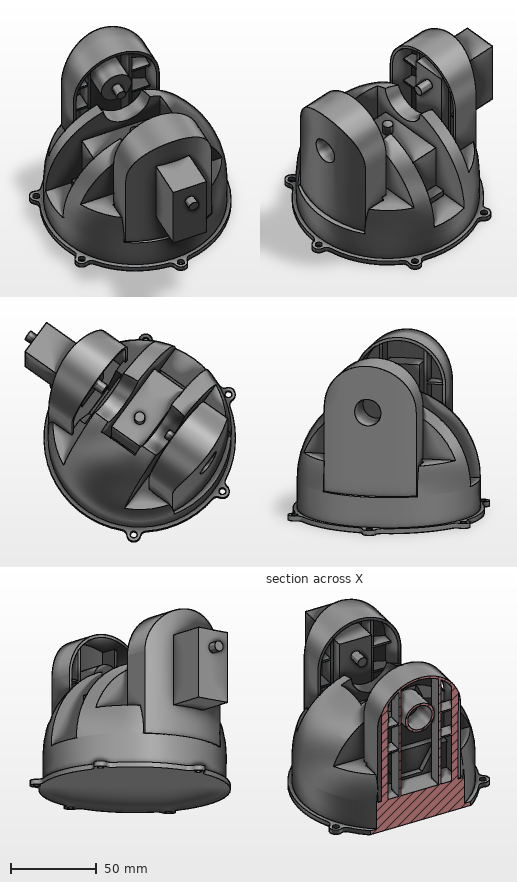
import cadquery as cq
import math

flange_radius = 56.0
flange_thickness = 3.0
ring_radius = 53.5
ring_top = 21.0

lug_circle_radius = 58.0
lug_radius = 4.0
lug_hole_diameter = 4.0
lug_fillet = 3.5
lug_first_angle = 2.4
lug_pitch = 60
lug_empty_place = 1
lug_places = 6

pivot_z = 70.9

dome_top = ring_top + ring_radius
ledge_z = 38.5
ledge_inner_x = 22.0
slot_width = 24.0
slot_back_y = 21.6
saddle_z = 72.7
saddle_radius = 15.0
arm_pocket_inner_x = 30.1
arm_pocket_half_width = 28.3
hex_channel_inner_x = 26.3
hex_channel_radius = 18.2

arm_shift_x = 0.7
arm_y = 0.4
arm_radius = 27.7
arm_top = pivot_z + arm_radius
arm_inner_x = 27.8
arm_outer_x = 51.0
arm_outer_curve_radius = 62.5
arm_wall = 1.8
arm_cavity_floor = ring_top
arm_overhang_z = {-1: 39.8, 1: ledge_z}

rib_inner_x = 36.8
rib_gap_half = 12.4
shelf_tops = (pivot_z, 53.5)
shelf_thickness = 1.3

bore_diameter = 15.8
pin_diameter = 5.5
pin_tip_x = -20.0

servo_width = 21.5
servo_shaft_diameter = 6.1
center_servo_front_y = -29.4
center_servo_back_y = 13.0
center_servo_top = 54.4
center_servo_shaft_top = 60.5
center_tab_length = 6.7
center_tab_top = 24.7
side_servo_inner_x = 33.4
side_servo_outer_x = 74.5
side_servo_bottom = 39.6
side_servo_top = 81.6
side_shaft_inner_tip_x = 24.7
overall_length = 142
side_shaft_outer_tip_x = (
    overall_length - lug_circle_radius * math.cos(math.radians(lug_first_angle)) - lug_radius
)


def box(x0, x1, y0, y1, z0, z1):
    """Axis-aligned block between the given limits."""
    return cq.Workplane("XY").box(x1 - x0, y1 - y0, z1 - z0, centered=False).translate((x0, y0, z0))


def side_block(side, x_near, x_far, y0, y1, z0, z1):
    """Block between two distances from the YZ plane, on the -X (-1) or +X (+1) side."""
    x0, x1 = sorted((side * x_near, side * x_far))
    return box(x0, x1, y0, y1, z0, z1)


def rod_x(diameter, x0, x1, y, z):
    """Round bar along X."""
    return cq.Workplane("YZ", origin=(x0, y, z)).circle(diameter / 2).extrude(x1 - x0)


def make_flange():
    """Disc with drilled lugs blended into its rim."""
    angles = [
        lug_first_angle + lug_pitch * place
        for place in range(lug_places)
        if place != lug_empty_place
    ]
    centers = [
        (lug_circle_radius * math.cos(math.radians(a)), lug_circle_radius * math.sin(math.radians(a)))
        for a in angles
    ]
    disc = cq.Workplane("XY").circle(flange_radius).extrude(flange_thickness)
    lugs = cq.Workplane("XY").pushPoints(centers).circle(lug_radius).extrude(flange_thickness)
    flange = disc.union(lugs)
    cos_half = (lug_circle_radius**2 + flange_radius**2 - lug_radius**2) / (
        2 * lug_circle_radius * flange_radius
    )
    half_angle = math.degrees(math.acos(cos_half))
    for angle in angles:
        for side in (-1, 1):
            corner = math.radians(angle + side * half_angle)
            corner_x = flange_radius * math.cos(corner)
            corner_y = flange_radius * math.sin(corner)
            nearest = cq.selectors.NearestToPointSelector((corner_x, corner_y, flange_thickness / 2))
            flange = flange.edges(nearest).fillet(lug_fillet)
    holes = cq.Workplane("XY").pushPoints(centers).circle(lug_hole_diameter / 2).extrude(flange_thickness)
    return flange.cut(holes)


def make_dome():
    """Half sphere on the ring, with the servo slot, saddle, ledges, arm pockets and channels."""
    far = 2 * ring_radius
    dome = cq.Workplane("XY").sphere(ring_radius).translate((0, 0, ring_top))
    dome = dome.intersect(box(-far, far, -far, far, ring_top, dome_top))
    dome = dome.cut(box(-slot_width / 2, slot_width / 2, -far, slot_back_y, ring_top, dome_top))
    dome = dome.cut(rod_x(2 * saddle_radius, -ledge_inner_x, ledge_inner_x, 0, saddle_z))
    hexagon = cq.Workplane("YZ", origin=(0, 0, ledge_z)).polygon(6, 2 * hex_channel_radius)
    channel = hexagon.extrude(arm_pocket_inner_x)
    channel = channel.cut(box(0, hex_channel_inner_x, -far, far, 0, dome_top))
    half = arm_pocket_half_width
    for side in (-1, 1):
        ledge_cut = side_block(side, ledge_inner_x, far, -far, far, ledge_z, dome_top)
        arm_pocket = side_block(side, arm_pocket_inner_x, far, -half, half, ring_top, dome_top)
        dome = dome.cut(ledge_cut).cut(arm_pocket)
        dome = dome.cut(channel if side > 0 else channel.mirror("YZ"))
    return dome


def arched_block(inset, bottom):
    """Round-topped block along +X, its outer end curved, shrunk by the inset."""
    radius = arm_radius - inset
    profile = (
        cq.Workplane("YZ", origin=(arm_inner_x, arm_y, 0))
        .moveTo(-radius, bottom)
        .lineTo(-radius, pivot_z)
        .threePointArc((0, pivot_z + radius), (radius, pivot_z))
        .lineTo(radius, bottom)
        .close()
        .extrude(arm_outer_x - arm_inner_x)
    )
    outer = (
        cq.Workplane("XY", origin=(arm_outer_x - arm_outer_curve_radius, arm_y, 0))
        .circle(arm_outer_curve_radius - inset)
        .extrude(arm_top)
    )
    return profile.intersect(outer)


def make_arm_ribs():
    """Upright ribs on both sides of the servo, with shelves from each rib to the side wall."""
    ribs = cq.Workplane("XY")
    for y_side in (-1, 1):
        rib_y = arm_y + y_side * rib_gap_half
        rib_far_y = rib_y + y_side * arm_wall
        wall_y = arm_y + y_side * arm_radius
        y0, y1 = sorted((rib_y, rib_far_y))
        ribs = ribs.add(box(rib_inner_x, arm_outer_x, y0, y1, 0, arm_top))
        y0, y1 = sorted((rib_far_y, wall_y))
        for shelf_top in shelf_tops:
            ribs = ribs.add(
                box(rib_inner_x, arm_outer_x, y0, y1, shelf_top - shelf_thickness, shelf_top)
            )
    return ribs.combine()


def make_arm(side):
    """Hollow arm, open towards the dome, on the -X (-1) or +X (+1) side."""
    cavity = arched_block(arm_wall, arm_cavity_floor).cut(make_arm_ribs())
    arm = arched_block(0, ring_top).cut(cavity)
    pocket_face = arm_pocket_inner_x - side * arm_shift_x
    arm = arm.cut(box(0, pocket_face, -2 * arm_radius, 2 * arm_radius, 0, arm_overhang_z[side]))
    if side < 0:
        arm = arm.mirror("YZ")
    return arm.translate((arm_shift_x, 0, 0))


def make_left_arm():
    """Left arm with a blind bore in a boss, and the pin on the boss end."""
    inner_x = arm_shift_x - arm_inner_x
    outer_x = arm_shift_x - arm_outer_x
    bore_end_x = inner_x - arm_wall
    boss_start_x = outer_x + arm_wall / 2
    boss = rod_x(bore_diameter + 2 * arm_wall, boss_start_x, inner_x, arm_y, pivot_z)
    bore = rod_x(bore_diameter, outer_x, bore_end_x, arm_y, pivot_z)
    pin = rod_x(pin_diameter, bore_end_x, pin_tip_x, arm_y, pivot_z)
    return make_arm(-1).union(boss).cut(bore).union(pin)


def make_right_arm():
    """Right arm with the servo that passes through its outer wall."""
    half = servo_width / 2
    body = box(
        side_servo_inner_x,
        side_servo_outer_x,
        arm_y - half,
        arm_y + half,
        side_servo_bottom,
        side_servo_top,
    )
    shaft = rod_x(servo_shaft_diameter, side_shaft_inner_tip_x, side_shaft_outer_tip_x, arm_y, pivot_z)
    return make_arm(1).union(body).union(shaft)


def make_center_servo():
    """Upright servo standing in the slot of the dome."""
    half = servo_width / 2
    body = box(-half, half, center_servo_front_y, center_servo_back_y, ring_top, center_servo_top)
    tabs = box(
        -half,
        half,
        center_servo_front_y - center_tab_length,
        center_servo_back_y + center_tab_length,
        ring_top,
        center_tab_top,
    )
    shaft_length = center_servo_shaft_top - center_servo_top
    shaft_base = cq.Workplane("XY", origin=(0, 0, center_servo_top))
    shaft = shaft_base.circle(servo_shaft_diameter / 2).extrude(shaft_length)
    return body.union(tabs).union(shaft)


ring = cq.Workplane("XY").circle(ring_radius).extrude(ring_top)
result = make_flange().union(ring).union(make_dome())
result = result.union(make_left_arm()).union(make_right_arm()).union(make_center_servo())